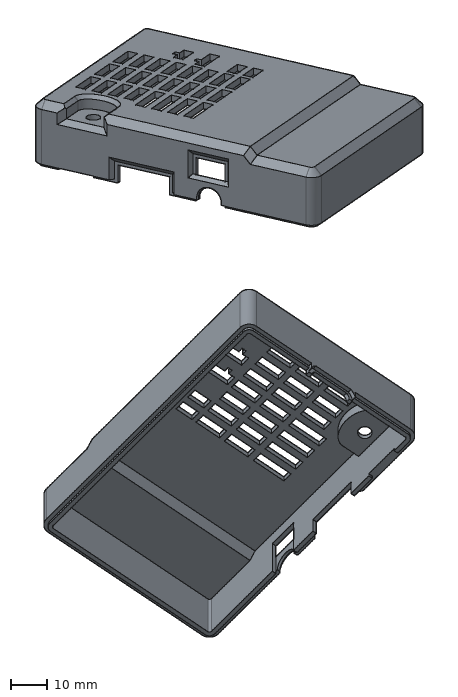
import cadquery as cq


length = 90.0
width = 61.0
total_height = 21.5
tab_drop = 3.0
height = total_height - tab_drop
corner_radius = 3.15
wall = 2.4
roof = 2.0

deck_drop = 2.2
edge_chamfer = deck_drop
slope_start = 68.0
slope_end = slope_start + deck_drop

lip_inset = 1.2
lip_height = 1.0

vent_width = 3.1
vent_columns = 8
first_vent_x = 7.6
last_vent_x = 43.2
vent_pitch = (last_vent_x - first_vent_x) / (vent_columns - 1)
vent_length = 8.3
vent_row_starts = [13.9, 24.1, 34.2]
long_vent_columns = [4, 5, 6, 7]
long_vent_start = 11.3
short_vent_columns = [6, 7]
short_vent_start = 43.9
short_vent_length = 5.7

key_notch_width = 1.35
key_notch_depth = 1.4
small_key_x = 20.4
small_key_start = 45.1
small_key_length = 5.8
small_key_notch_y = 47.9
large_key_column = 4
large_key_start = 43.9
large_key_length = 8.2
large_key_notch_y = 46.7

screw_x = 16.0
screw_y = 6.2
screw_hole_diameter = 4.0
recess_depth = 4.05
recess_half_width = 5.9
recess_side_length = 8.1
recess_arc_height = 3.3
recess_rim_chamfer = 1.1
recess_mouth_length = 1.6
recess_mouth_flare = 2.0
recess_mouth_drop = 1.5
recess_wall = 1.35
recess_floor = 1.6
recess_z = height - recess_depth

top_bevel = 1.35
frame = 1.0
plug_x = 34.8
plug_side_bevel = 1.2
plug_half_width = 8.2
plug_top = 4.4
window_x = 56.0
window_side_bevel = 0.8
window_sill_bevel = 1.0
window_half_width = 4.6
window_bottom = 6.9
window_top = 12.0

arch_x = 56.25
arch_radius = 3.6
arch_bevel = 0.4
arch_z = 0.5

screw_gap_x = 13.4
screw_gap_width = 11.0

bridge_half_width = 7.7
bridge_radius = 2.5
bridge_outer_drop = 2.4


def block(x0, x1, y0, y1, z0, z1):
    return cq.Workplane("XY").box(x1 - x0, y1 - y0, z1 - z0, centered=False).translate((x0, y0, z0))


def stepped_block(inset, top_offset, bottom):
    """Block with the two deck heights, set in from the outline and down from the decks."""
    high = height - top_offset
    low = high - deck_drop
    return (
        cq.Workplane("XZ")
        .moveTo(inset, bottom)
        .lineTo(length - inset, bottom)
        .lineTo(length - inset, low)
        .lineTo(slope_end, low)
        .lineTo(slope_start, high)
        .lineTo(inset, high)
        .close()
        .extrude(-(width - 2 * inset))
        .translate((0, inset, 0))
        .edges("|Z").edges("<X or >X").fillet(corner_radius - inset)
    )


def lip_block():
    size_x = length - 2 * lip_inset
    size_y = width - 2 * lip_inset
    body = block(lip_inset, lip_inset + size_x, lip_inset, lip_inset + size_y, -lip_height, 0)
    return body.edges("|Z").fillet(corner_radius - lip_inset)


def wall_rectangle(x, y, half_width, bottom, top):
    """Rectangular wire parallel to the front wall, centred on x at depth y."""
    return (
        cq.Workplane("XZ", origin=(x, y, 0))
        .polyline([(-half_width, bottom), (half_width, bottom), (half_width, top), (-half_width, top)])
        .close()
        .wire()
        .val()
    )


def recess_outline(offset, z):
    """Recess outline grown by offset: two straight sides closed by half an ellipse."""
    half = recess_half_width + offset
    return (
        cq.Workplane("XY", origin=(screw_x, 0, z))
        .moveTo(-half, 0)
        .lineTo(half, 0)
        .lineTo(half, recess_side_length)
        .ellipseArc(half, recess_arc_height + offset, 0, 180)
        .close()
    )


def recess_mouth():
    """Tapered cut that widens the recess sides and floor toward the front face."""

    def section(flare, drop, y):
        return wall_rectangle(screw_x, y, recess_half_width + flare, recess_z - drop, height)

    sections = [
        section(recess_mouth_flare, recess_mouth_drop, 0),
        section(0, 0, recess_mouth_length),
    ]
    return cq.Workplane(cq.Solid.makeLoft(sections, True))


def recess_rim():
    sections = [
        recess_outline(0, height - recess_rim_chamfer).wire().val(),
        recess_outline(recess_rim_chamfer, height).wire().val(),
    ]
    return cq.Workplane(cq.Solid.makeLoft(sections, True))


def vent_slot(x, y_start, slot_length):
    half = vent_width / 2
    return block(x - half, x + half, y_start, y_start + slot_length, recess_z, height)


def key_notch(x, y):
    left = x - vent_width / 2
    half = key_notch_width / 2
    return block(left - key_notch_depth, left, y - half, y + half, recess_z, height)


def column_x(column):
    return first_vent_x + column * vent_pitch


def vents():
    slots = cq.Workplane("XY")
    for column in range(vent_columns):
        for y_start in vent_row_starts:
            slots = slots.add(vent_slot(column_x(column), y_start, vent_length))
    extra_length = vent_row_starts[0] - long_vent_start
    for column in long_vent_columns:
        slots = slots.add(vent_slot(column_x(column), long_vent_start, vent_length + extra_length))
    for column in short_vent_columns:
        slots = slots.add(vent_slot(column_x(column), short_vent_start, short_vent_length))
    large_key_x = column_x(large_key_column)
    slots = slots.add(vent_slot(small_key_x, small_key_start, small_key_length))
    slots = slots.add(key_notch(small_key_x, small_key_notch_y))
    slots = slots.add(vent_slot(large_key_x, large_key_start, large_key_length))
    slots = slots.add(key_notch(large_key_x, large_key_notch_y))
    return slots.combine()


def bevelled_opening(x, half_width, bottom, top, side_bevel, sill_bevel):
    """Through opening with a flat frame at lip depth and bevelled edges out to the front face."""
    frame_half = half_width + frame
    frame_top = top + frame
    face = wall_rectangle(x, 0, frame_half + side_bevel, bottom - sill_bevel, frame_top + top_bevel)
    frame_edge = wall_rectangle(x, lip_inset, frame_half, bottom, frame_top)
    bevels = cq.Workplane(cq.Solid.makeLoft([face, frame_edge], True))
    through = block(x - half_width, x + half_width, 0, wall, bottom, top)
    return through.union(bevels)


def cable_arch():
    hole = cq.Workplane("XZ", origin=(arch_x, 0, arch_z)).circle(arch_radius).extrude(-wall)
    cone = cq.Solid.makeCone(
        arch_radius + arch_bevel,
        arch_radius,
        arch_bevel,
        pnt=cq.Vector(arch_x, 0, arch_z),
        dir=cq.Vector(0, 1, 0),
    )
    legs = block(arch_x - arch_radius, arch_x + arch_radius, 0, wall, -lip_height, arch_z)
    return hole.union(cq.Workplane(cone)).union(legs)


def bridge_layer(x0, x1, top, bottom, half_opening, radius):
    """One layer of the bridge: a block with a round-cornered passage along X."""
    middle = width / 2
    layer = block(x0, x1, middle - bridge_half_width, middle + bridge_half_width, bottom, top)
    arc_z = -tab_drop
    passage = block(
        x0, x1, middle - half_opening, middle + half_opening, arc_z - radius, arc_z + radius
    )
    return layer.cut(passage.edges("|X and >Z").fillet(radius))


def outer_body():
    """Stepped block with every deck edge chamfered except the two across the slope."""
    margin = wall
    near_decks = cq.selectors.BoxSelector(
        (-margin, -margin, height - deck_drop - margin),
        (length + margin, width + margin, height + margin),
    )
    deck_edges = stepped_block(0, 0, 0).edges(near_decks).edges("(not |Y) or <X or >X")
    return deck_edges.chamfer(edge_chamfer)


pad = recess_outline(recess_wall, recess_z - recess_floor).extrude(recess_depth + recess_floor)
cavity = stepped_block(wall, roof, -lip_height).cut(pad)
result = outer_body().union(lip_block()).cut(cavity)

result = result.cut(recess_outline(0, recess_z).extrude(recess_depth))
result = result.cut(recess_mouth()).cut(recess_rim())
screw_hole = cq.Workplane("XY", origin=(screw_x, screw_y, 0)).circle(screw_hole_diameter / 2)
result = result.cut(screw_hole.extrude(height))

result = result.cut(vents())

result = result.cut(
    bevelled_opening(plug_x, plug_half_width, -lip_height, plug_top, plug_side_bevel, 0)
)
result = result.cut(
    bevelled_opening(
        window_x, window_half_width, window_bottom, window_top, window_side_bevel, window_sill_bevel
    )
)
result = result.cut(cable_arch())

window_left = window_x - window_half_width
window_right = window_x + window_half_width
result = result.cut(block(window_left, window_right, lip_inset, wall, -lip_height, window_top))

gap_left = screw_gap_x - screw_gap_width / 2
result = result.cut(block(gap_left, gap_left + screw_gap_width, 0, wall, -lip_height, 0))

inner_half_opening = bridge_half_width - lip_inset
outer_layer = bridge_layer(
    0, lip_inset, 0, -bridge_outer_drop, bridge_half_width, bridge_radius + lip_inset
)
inner_layer = bridge_layer(
    lip_inset, wall, -lip_height, -tab_drop, inner_half_opening, bridge_radius
)
result = result.union(outer_layer).union(inner_layer)